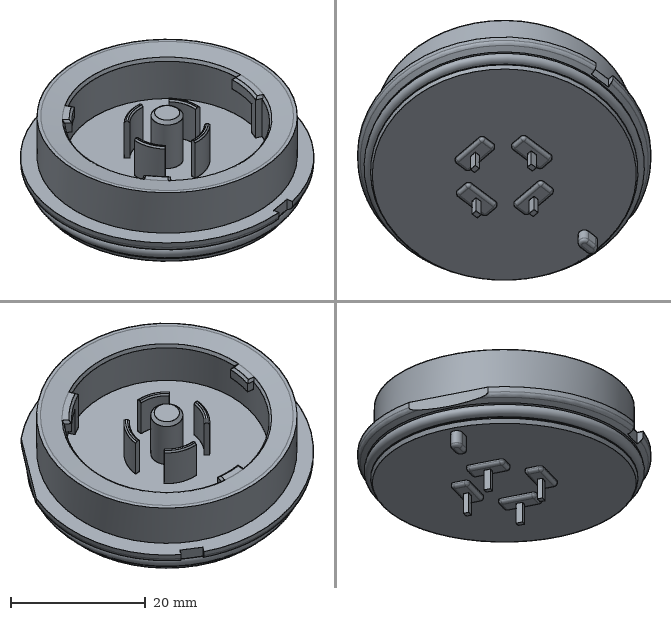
import cadquery as cq
import math

rim_top = 7.4
post_top = 8.0
floor_top = -0.48
flange_underside = -2.1
base_disc_top = -4.1
base_bottom = -5.0
pad_bottom = -5.75
peg_bottom = -7.5
pin_bottom = -9.0

overall_width = 43.35
overall_depth = 42.55
notch_width = 3.43
notch_floor_distance = 20.73
flange_radius = math.hypot(overall_width / 2, notch_width / 2)
flat_distance = overall_depth - flange_radius
flange_side_height = 1.3
flange_underside_radius = 20.55
flange_edge_fillet = 0.85
groove_radius = 19.3
seal_section_radius = 0.9
seal_path_radius = 19.85
seal_height = -3.05
base_disc_radius = 19.8
base_disc_taper = 0.25
base_disc_taper_height = 0.7

wall_radius = 19.3
funnel_radius = 18.75
lip_radius = 15.52
lip_height = 6.9
bore_radius = 15.18
lead_in_height = 0.5

lug_inner_radius = 14.15
lug_bevel = 0.4
lug_height = 2.1
hook_angles = (57.8, 83)
hook_leg_sweep = 6.2
short_lug_angles = ((202, 218), (292, 308))

post_radius = 2.4
post_chamfer = 0.5

contact_count = 4
contact_inner_radius = 5.55
contact_outer_radius = 6.37
contact_top = 6.25
contact_bevel = 0.25
contact_sweep = 47.0
contact_twist = 9.7
pad_radial = 2.95
pad_tangential = 6.15
pad_corner = 0.6
pad_fillet = 0.5
pin_tangential = 1.05

peg_distance = 17.0
peg_length = 3.25
peg_width = 1.8
peg_fillet = 0.5


def turned(points):
    """Solid of revolution about Z from (radius, height) points."""
    return cq.Workplane("XZ").polyline(points).close().revolve(360, (0, 0, 0), (0, 1, 0))


def ring_sector(inner, outer, start, end, bottom, top):
    """Part of a ring between two angles in degrees and two heights."""

    def at(radius, angle):
        turn = math.radians(angle)
        return (radius * math.cos(turn), radius * math.sin(turn))

    middle = (start + end) / 2
    return (
        cq.Workplane("XY", origin=(0, 0, bottom))
        .moveTo(*at(inner, start))
        .lineTo(*at(outer, start))
        .threePointArc(at(outer, middle), at(outer, end))
        .lineTo(*at(inner, end))
        .threePointArc(at(inner, middle), at(inner, start))
        .close()
        .extrude(top - bottom)
    )


def make_flange():
    """Flange with a rounded, tapered underside, a rear flat and two side notches."""
    flange = turned([
        (0, 0),
        (flange_radius, 0),
        (flange_radius, -flange_side_height),
        (flange_underside_radius, flange_underside),
        (0, flange_underside),
    ])
    flange = flange.edges("%CIRCLE and >>Z[2]").fillet(flange_edge_fillet)

    cut_size = 2 * flange_radius
    beyond_flat = cq.Workplane("XY").box(cut_size, cut_size, cut_size)
    flange = flange.cut(beyond_flat.translate((0, flat_distance + cut_size / 2, 0)))

    notch = cq.Workplane("XY").box(cut_size, notch_width, cut_size)
    for side in (-1, 1):
        flange = flange.cut(notch.translate((side * (notch_floor_distance + cut_size / 2), 0, 0)))
    return flange


def make_base():
    """Groove core and tapered base disc below the flange, with the seal ring in the groove."""
    core = turned([
        (0, 0),
        (groove_radius, 0),
        (groove_radius, base_disc_top),
        (base_disc_radius, base_disc_top),
        (base_disc_radius, base_bottom + base_disc_taper_height),
        (base_disc_radius - base_disc_taper, base_bottom),
        (0, base_bottom),
    ])
    seal = (
        cq.Workplane("XZ")
        .center(-seal_path_radius, seal_height)
        .circle(seal_section_radius)
        .revolve(360, (seal_path_radius, 0, 0), (seal_path_radius, 1, 0))
    )
    return core.union(seal)


def make_wall():
    """Cup wall rising from the flange, still without its bore."""
    return cq.Workplane("XY").circle(wall_radius).extrude(rim_top)


def make_bore():
    """Space inside the cup: bore, lead-in bevel and funnel."""
    return turned([
        (0, floor_top),
        (bore_radius, floor_top),
        (bore_radius, lip_height - lead_in_height),
        (lip_radius, lip_height),
        (funnel_radius, rim_top),
        (0, rim_top),
    ])


def make_lugs():
    """One hooked lug with a leg down to the floor, and two short lugs, bevelled at the lip."""
    buried_radius = (lip_radius + wall_radius) / 2
    bevel_bottom = lip_height - lug_bevel
    hook_start = hook_angles[0]
    lugs = ring_sector(
        lug_inner_radius, buried_radius, hook_start, hook_start + hook_leg_sweep, floor_top, bevel_bottom
    )
    for start, end in (hook_angles, *short_lug_angles):
        lug = ring_sector(lug_inner_radius, buried_radius, start, end, lip_height - lug_height, lip_height)
        lugs = lugs.union(lug.faces(">Z").chamfer(lug_bevel))
    return lugs


def make_post():
    """Chamfered centre post."""
    height = post_top - base_bottom
    post = cq.Workplane("XY", origin=(0, 0, base_bottom)).circle(post_radius).extrude(height)
    return post.faces(">Z").chamfer(post_chamfer)


def make_contact():
    """Contact at +X: twisted curved blade rooted in the base, pad and pin below it."""
    blade = ring_sector(
        contact_inner_radius,
        contact_outer_radius,
        contact_twist - contact_sweep / 2,
        contact_twist + contact_sweep / 2,
        base_bottom,
        contact_top,
    )
    blade = blade.faces(">Z").edges("%CIRCLE").chamfer(contact_bevel)

    middle_radius = (contact_inner_radius + contact_outer_radius) / 2
    contact_thickness = contact_outer_radius - contact_inner_radius
    below_base = cq.Workplane("XY", origin=(middle_radius, 0, base_bottom))
    pad = below_base.rect(pad_radial, pad_tangential).extrude(pad_bottom - base_bottom)
    pad = pad.edges("|Z").fillet(pad_corner).faces("<Z").edges().fillet(pad_fillet)
    pin = below_base.rect(contact_thickness, pin_tangential).extrude(pin_bottom - base_bottom)
    return blade.union(pad.union(pin))


def make_peg():
    """Obround locating peg under the rear of the base."""
    return (
        cq.Workplane("XY", origin=(0, peg_distance, base_bottom))
        .slot2D(peg_length, peg_width, 90)
        .extrude(peg_bottom - base_bottom)
        .faces("<Z")
        .edges()
        .fillet(peg_fillet)
    )


result = make_flange().union(make_base()).union(make_wall()).cut(make_bore())
result = result.union(make_lugs()).union(make_post()).union(make_peg())

contact = make_contact()
for index in range(contact_count):
    turn = index * 360 / contact_count
    result = result.union(contact.rotate((0, 0, 0), (0, 0, 1), turn))